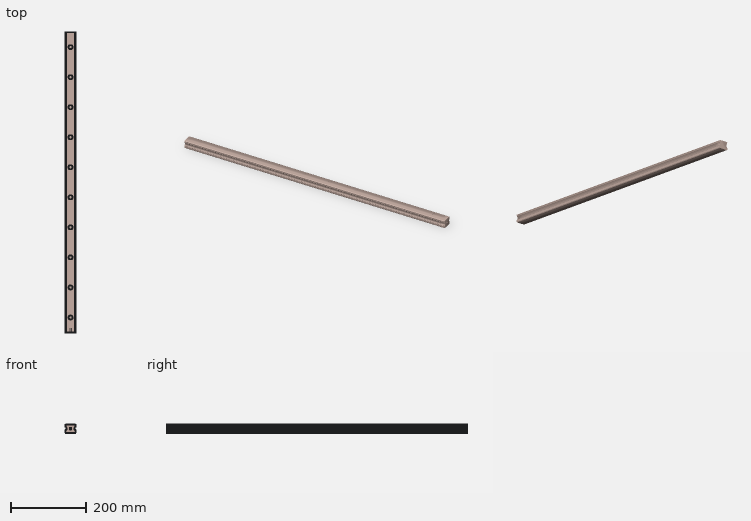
import cadquery as cq

LENGTH = 800.0
WIDTH = 28.0
HEIGHT = 23.0

TOP_FLAT_WIDTH = 23.0
SHOULDER_DROP = 1.3
BASE_CHAMFER = 1.7

TRACK_SAG = 0.6
UPPER_TRACK_TOP_Z = 20.4
UPPER_TRACK_BOTTOM_Z = 17.4
UPPER_LIP_WIDTH = 27.2
LOWER_TRACK_TOP_Z = 7.5
LOWER_TRACK_BOTTOM_Z = 6.4
LOWER_LIP_WIDTH = 26.8

HEAD_BOTTOM_WIDTH = 23.9
HEAD_BOTTOM_Z = 15.6
WAIST_WIDTH = 21.9
WAIST_TOP_Z = 13.0
WAIST_BOTTOM_Z = 10.1

RECESS_COUNT = 10
RECESS_PITCH = LENGTH / RECESS_COUNT
RECESS_DIAMETER = 11.0
RECESS_DEPTH = 0.2

END_HOLE_DIAMETER = 5.0
END_HOLE_DEPTH = 12.0
END_HOLE_Z = 11.7


def track_middle(start, end):
    """Middle point of a track arc that sinks towards the centre of the rail."""
    return ((start[0] + end[0]) / 2 - TRACK_SAG, (start[1] + end[1]) / 2)


def make_rail():
    """Extrude the +X half of the section along Y and mirror it across X = 0."""
    side = WIDTH / 2
    upper_top = (side, UPPER_TRACK_TOP_Z)
    upper_bottom = (UPPER_LIP_WIDTH / 2, UPPER_TRACK_BOTTOM_Z)
    lower_top = (LOWER_LIP_WIDTH / 2, LOWER_TRACK_TOP_Z)
    lower_bottom = (side, LOWER_TRACK_BOTTOM_Z)
    half_section = (
        cq.Workplane("XZ")
        .moveTo(0, HEIGHT)
        .lineTo(TOP_FLAT_WIDTH / 2, HEIGHT)
        .lineTo(side, HEIGHT - SHOULDER_DROP)
        .lineTo(*upper_top)
        .threePointArc(track_middle(upper_top, upper_bottom), upper_bottom)
        .lineTo(HEAD_BOTTOM_WIDTH / 2, HEAD_BOTTOM_Z)
        .lineTo(WAIST_WIDTH / 2, WAIST_TOP_Z)
        .lineTo(WAIST_WIDTH / 2, WAIST_BOTTOM_Z)
        .lineTo(*lower_top)
        .threePointArc(track_middle(lower_top, lower_bottom), lower_bottom)
        .lineTo(side, BASE_CHAMFER)
        .lineTo(side - BASE_CHAMFER, 0)
        .lineTo(0, 0)
        .close()
    )
    half_rail = half_section.extrude(LENGTH / 2, both=True)
    return half_rail.union(half_rail.mirror("YZ")).clean()


def cut_top_recesses(rail):
    """Cut the row of round recesses, the end ones half a pitch from the rail ends."""
    recesses = (
        cq.Workplane("XY", origin=(0, 0, HEIGHT))
        .rarray(1, RECESS_PITCH, 1, RECESS_COUNT)
        .circle(RECESS_DIAMETER / 2)
        .extrude(-RECESS_DEPTH)
    )
    return rail.cut(recesses)


def cut_end_hole(rail):
    """Drill the blind hole in the middle of the -Y end."""
    hole = (
        cq.Workplane("XZ", origin=(0, -LENGTH / 2, END_HOLE_Z))
        .circle(END_HOLE_DIAMETER / 2)
        .extrude(-END_HOLE_DEPTH)
    )
    return rail.cut(hole)


result = cut_end_hole(cut_top_recesses(make_rail()))